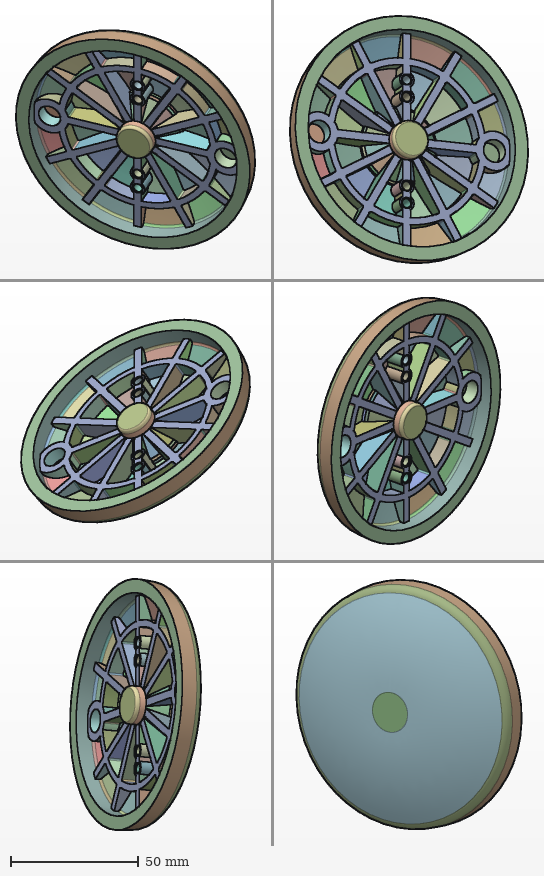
import cadquery as cq
import math


RIM_RADIUS = 49.5
TOTAL_DEPTH = 18.0
SIDE_TOP_RADIUS = 49.0
SIDE_HEIGHT = 6.5
DOME_EDGE_RADIUS = 46.2
DOME_EDGE_DEPTH = 9.8
SHOULDER_RADIUS = 4.0
CROWN_FLAT_RADIUS = 8.0

WALL = 3.5
OPENING_RADIUS = 44.0
FLOOR_EDGE_RADIUS = 43.7
FLOOR_FILLET = 1.2

RIB_PLANE = 5.0
RIB_WIDTH = 3.3
RIB_COUNT = 12
RIB_PITCH = 360 / RIB_COUNT
RING_OUTER_RADIUS = 33.8
RING_INNER_RADIUS = 31.0
CORNER_FILLET = 0.6

HUB_RADIUS = 7.6
HUB_FACE = 0.5
HUB_FACE_RADIUS = 6.75
HUB_ROUND_DEPTH = 1.7
PEDESTAL_RADIUS = 16.1
PEDESTAL_TOP_DEPTH = 11.85
PEDESTAL_ROUND = 0.9
CONE_TOP_DEPTH = 5.0

MOUNT_OFFSET = 37.2
MOUNT_RADIUS = 8.0
MOUNT_HOLE_RADIUS = 4.6
MOUNT_HOLE_DEPTH = 6.0

POST_OFFSETS = (18.1, 25.1)
POST_RADIUS = 3.05
POST_MOUTH_RADIUS = 2.2
POST_HOLE_RADIUS = 1.85
POST_TIP_RADIUS = 0.6
POST_HOLE_DEPTH = 8.0

SELECT_MARGIN = 0.3

CROWN_RISE = TOTAL_DEPTH - DOME_EDGE_DEPTH
DOME_ARC_SPAN = DOME_EDGE_RADIUS - CROWN_FLAT_RADIUS
DOME_ARC_RADIUS = (DOME_ARC_SPAN**2 + CROWN_RISE**2) / (2 * CROWN_RISE)
DOME_ARC_CENTER_Y = TOTAL_DEPTH - DOME_ARC_RADIUS
FLOOR_ARC_RADIUS = DOME_ARC_RADIUS - WALL
FLOOR_CROWN_DEPTH = TOTAL_DEPTH - WALL


def arc_depth(arc_radius, distance):
    """Y of the dome section with the given arc radius, at a distance from the Y axis."""
    return DOME_ARC_CENTER_Y + math.sqrt(arc_radius**2 - (distance - CROWN_FLAT_RADIUS)**2)


def on_both_sides(offset):
    return (-offset, offset)


def start_section():
    """Half section: local x runs up from the Y axis along +Z, local y runs along +Y."""
    return cq.Workplane(cq.Plane(origin=(0, 0, 0), xDir=(0, 0, 1), normal=(-1, 0, 0)))


def revolve_section(section):
    return section.close().revolve(360, (0, 0, 0), (0, 1, 0))


def close_over_dome(section, arc_radius, edge_radius, crown_depth):
    """Carry a half section from the dome edge over the arc and the flat crown to the axis."""
    mid_radius = (edge_radius + CROWN_FLAT_RADIUS) / 2
    arc_middle = (mid_radius, arc_depth(arc_radius, mid_radius))
    return (
        section
        .threePointArc(arc_middle, (CROWN_FLAT_RADIUS, crown_depth))
        .lineTo(0, crown_depth)
    )


def cylinder(radius, start, end, x=0.0, z=0.0):
    """Cylinder along +Y from depth start to depth end."""
    axis = cq.Vector(0, 1, 0)
    return cq.Workplane(cq.Solid.makeCylinder(radius, end - start, cq.Vector(x, start, z), axis))


def edges_at_depth(depth):
    """Select the edges that lie wholly at one depth."""
    return cq.selectors.BoxSelector(
        (-RIM_RADIUS, depth - SELECT_MARGIN, -RIM_RADIUS),
        (RIM_RADIUS, depth + SELECT_MARGIN, RIM_RADIUS),
        boundingbox=True,
    )


def make_outer_body():
    side = (
        start_section()
        .lineTo(RIM_RADIUS, 0)
        .lineTo(SIDE_TOP_RADIUS, SIDE_HEIGHT)
        .radiusArc((DOME_EDGE_RADIUS, DOME_EDGE_DEPTH), -SHOULDER_RADIUS)
    )
    return revolve_section(close_over_dome(side, DOME_ARC_RADIUS, DOME_EDGE_RADIUS, TOTAL_DEPTH))


def make_cavity():
    floor_edge_depth = arc_depth(FLOOR_ARC_RADIUS, FLOOR_EDGE_RADIUS)
    side = start_section().lineTo(OPENING_RADIUS, 0).lineTo(FLOOR_EDGE_RADIUS, floor_edge_depth)
    cavity = revolve_section(
        close_over_dome(side, FLOOR_ARC_RADIUS, FLOOR_EDGE_RADIUS, FLOOR_CROWN_DEPTH))
    return cavity.edges(edges_at_depth(floor_edge_depth)).fillet(FLOOR_FILLET)


def make_frame():
    """Radial ribs, ring and side mounts, with rounded corners between them."""
    rib_depth = TOTAL_DEPTH - RIB_PLANE
    rib_center = (0, RIB_PLANE + rib_depth / 2, 0)
    double_rib = cq.Workplane("XY").box(2 * RIM_RADIUS, rib_depth, RIB_WIDTH).translate(rib_center)
    frame = cylinder(RING_OUTER_RADIUS, RIB_PLANE, TOTAL_DEPTH).cut(
        cylinder(RING_INNER_RADIUS, RIB_PLANE, TOTAL_DEPTH))
    for index in range(RIB_COUNT // 2):
        frame = frame.union(double_rib.rotate((0, 0, 0), (0, 1, 0), index * RIB_PITCH))
    for x in on_both_sides(MOUNT_OFFSET):
        frame = frame.union(cylinder(MOUNT_RADIUS, RIB_PLANE, TOTAL_DEPTH, x=x))

    corners = diagonal_rib_corners() + mount_rib_corners()
    selector = upright_edge(*corners[0])
    for x, z in corners[1:]:
        selector = selector + upright_edge(x, z)
    return frame.edges(selector).fillet(CORNER_FILLET)


def diagonal_rib_corners():
    """(x, z) where the ring meets the ribs that lie on neither the X nor the Z axis."""
    corners = []
    for index in range(RIB_COUNT):
        if index % (RIB_COUNT // 4) == 0:
            continue
        rib_angle = math.radians(index * RIB_PITCH)
        for radius in (RING_INNER_RADIUS, RING_OUTER_RADIUS):
            for half_angle in on_both_sides(math.asin(RIB_WIDTH / 2 / radius)):
                angle = rib_angle + half_angle
                corners.append((radius * math.cos(angle), radius * math.sin(angle)))
    return corners


def mount_rib_corners():
    """(x, z) where the ribs on the X axis run into the side mounts."""
    half_width = RIB_WIDTH / 2
    mount_face = MOUNT_OFFSET - math.sqrt(MOUNT_RADIUS**2 - half_width**2)
    return [(x, z) for x in on_both_sides(mount_face) for z in on_both_sides(half_width)]


def upright_edge(x, z):
    """Select the edge parallel to Y at (x, z) by its midpoint."""
    mid_depth = (RIB_PLANE + TOTAL_DEPTH) / 2
    return cq.selectors.BoxSelector(
        (x - SELECT_MARGIN, mid_depth - SELECT_MARGIN, z - SELECT_MARGIN),
        (x + SELECT_MARGIN, mid_depth + SELECT_MARGIN, z + SELECT_MARGIN),
    )


def make_hub():
    """Round hub on a cone, which stands on a round pedestal with a rounded edge."""
    return revolve_section(
        start_section()
        .moveTo(0, HUB_FACE)
        .lineTo(HUB_FACE_RADIUS, HUB_FACE)
        .ellipseArc(HUB_RADIUS - HUB_FACE_RADIUS, HUB_ROUND_DEPTH, 270, 360)
        .lineTo(HUB_RADIUS, CONE_TOP_DEPTH)
        .lineTo(PEDESTAL_RADIUS - PEDESTAL_ROUND, PEDESTAL_TOP_DEPTH)
        .radiusArc((PEDESTAL_RADIUS, PEDESTAL_TOP_DEPTH + PEDESTAL_ROUND), PEDESTAL_ROUND)
        .lineTo(PEDESTAL_RADIUS, TOTAL_DEPTH)
        .lineTo(0, TOTAL_DEPTH)
    )


def make_post_hole(z):
    """Tapered blind hole with a chamfered mouth."""
    hole = revolve_section(
        start_section()
        .moveTo(0, RIB_PLANE)
        .lineTo(POST_MOUTH_RADIUS, RIB_PLANE)
        .lineTo(POST_HOLE_RADIUS, RIB_PLANE + POST_MOUTH_RADIUS - POST_HOLE_RADIUS)
        .lineTo(POST_TIP_RADIUS, RIB_PLANE + POST_HOLE_DEPTH)
        .lineTo(0, RIB_PLANE + POST_HOLE_DEPTH)
    )
    return hole.translate((0, 0, z))


def make_posts():
    posts = cq.Workplane("XY")
    for offset in POST_OFFSETS:
        for z in on_both_sides(offset):
            posts = posts.add(cylinder(POST_RADIUS, RIB_PLANE, TOTAL_DEPTH, z=z))
    return posts.combine()


def cut_holes(body):
    for x in on_both_sides(MOUNT_OFFSET):
        body = body.cut(cylinder(MOUNT_HOLE_RADIUS, RIB_PLANE, RIB_PLANE + MOUNT_HOLE_DEPTH, x=x))
    for offset in POST_OFFSETS:
        for z in on_both_sides(offset):
            body = body.cut(make_post_hole(z))
    return body


cavity = make_cavity()
inner = make_frame().union(make_hub()).union(make_posts())
shell = make_outer_body().cut(cavity)
result = cut_holes(shell.union(inner.intersect(cavity))).solids()